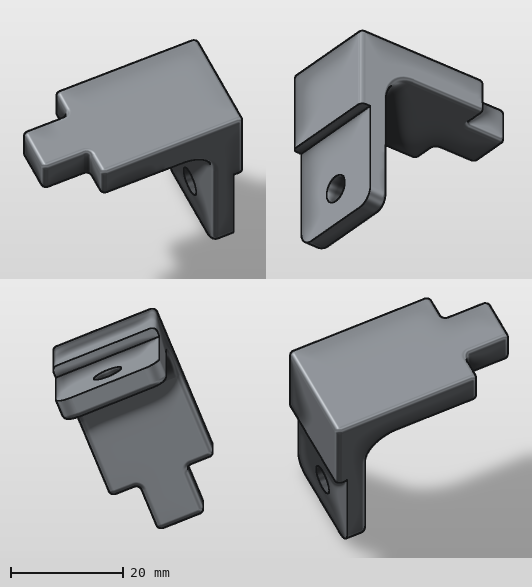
import cadquery as cq

width = 20.0
depth = 37.0
height = 36.0
slab_thickness = 7.0
wall_thickness = 6.0
inner_radius = 6.0
tongue_width = 9.0
tongue_length = 9.0
edge_radius = 1.0
bottom_corner_radius = 3.0
relief_depth = 2.0
upper_back_height = 16.0
hole_diameter = 5.3
hole_height = 7.5

underside_z = height - slab_thickness
shoulder_y = -(depth - tongue_length)
relief_height = height - upper_back_height
tolerance = 0.005


def is_at(value, target):
    return abs(value - target) < tolerance


def make_bracket():
    """L-shaped bracket with a tongue, its inside corner and wall corners rounded."""
    slab = cq.Workplane("XY").box(width, -shoulder_y, slab_thickness, centered=(True, False, False))
    slab = slab.translate((0, shoulder_y, underside_z))
    wall = cq.Workplane("XY").box(width, wall_thickness, height, centered=(True, False, False))
    wall = wall.translate((0, -wall_thickness, 0))
    tongue = cq.Workplane("XY").box(tongue_width, depth, slab_thickness, centered=(True, False, False))
    tongue = tongue.translate((0, -depth, underside_z))
    body = slab.union(wall).union(tongue).clean()

    inside_corner = body.edges("|X").filter(
        lambda e: is_at(e.Center().y, -wall_thickness) and is_at(e.Center().z, underside_z)
    )
    body = inside_corner.fillet(inner_radius)
    tongue_roots = body.edges("|Z").filter(
        lambda e: is_at(e.Center().y, shoulder_y) and is_at(abs(e.Center().x), tongue_width / 2)
    )
    body = tongue_roots.fillet(edge_radius)
    return body.faces("<Z").edges("|Y").fillet(bottom_corner_radius)


def round_outer_edges(body):
    """Round every sharp outer edge; tangent edges follow the selected ones."""
    face_edges = body.faces(">Z or <Y or >Y").edges()
    underside_edges = body.edges("|Y").filter(lambda e: is_at(e.Center().z, underside_z))
    shoulder_edges = body.edges("|Z").filter(
        lambda e: is_at(e.Center().y, shoulder_y) and is_at(abs(e.Center().x), width / 2)
    )
    return face_edges.add(underside_edges).add(shoulder_edges).fillet(edge_radius)


def cut_rear_relief(body):
    """Thin the lower wall from behind, leaving a sharp step."""
    relief = cq.Workplane("XY").box(width, relief_depth, relief_height, centered=(True, False, False))
    return body.cut(relief.translate((0, -relief_depth, 0)))


def cut_wall_hole(body):
    """Through hole in the lower wall, along Y."""
    hole = cq.Workplane("XZ").center(0, hole_height).circle(hole_diameter / 2).extrude(wall_thickness)
    return body.cut(hole)


bracket = round_outer_edges(make_bracket())
result = cut_wall_hole(cut_rear_relief(bracket))